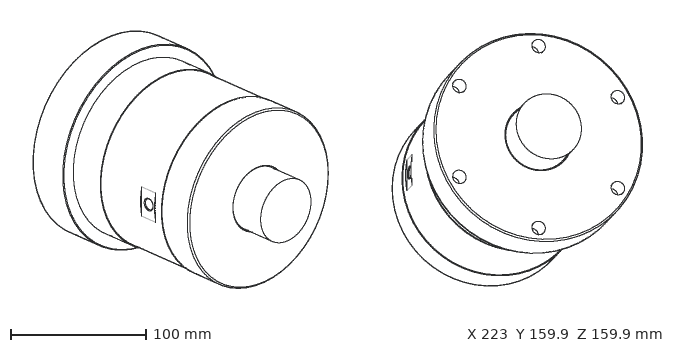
import cadquery as cq
import math

shaft_length = 223.0
shaft_radius = 25.0
shaft_overhang = 29.9

flange_radius = 79.95
flange_length = 35.0
flange_front_chamfer = 1.3
flange_back_chamfer = 0.7
land_radius = 70.0
land_length = 30.0
land_chamfer = 1.3
waist_radius = 69.4
bore_chamfer = 1.0
bore_radius = shaft_radius

housing_length = shaft_length - 2 * shaft_overhang
housing_start = -housing_length / 2
housing_end = housing_length / 2
flange_end = housing_start + flange_length
waist_start = flange_end + land_length
waist_end = housing_end - land_length

bolt_count = 6
bolt_circle_radius = 70.0
bolt_hole_radius = 5.1
bolt_hole_depth = 20.0
drill_tip_angle = 118.0

flat_width = 15.5
flat_height = 23.6
flat_distance = math.sqrt(waist_radius**2 - (flat_height / 2) ** 2)
flat_x = waist_end - 16.0
port_radius = 4.2
port_depth = 13.4
port_chamfer = 0.7


def make_shaft():
    return cq.Workplane("YZ", origin=(-shaft_length / 2, 0, 0)).circle(shaft_radius).extrude(shaft_length)


def make_housing_blank():
    """Revolve the stepped half section, including its chamfered through bore, about X."""
    return (
        cq.Workplane("XY")
        .moveTo(housing_start + bore_chamfer, bore_radius)
        .lineTo(housing_start, bore_radius + bore_chamfer)
        .lineTo(housing_start, flange_radius - flange_front_chamfer)
        .lineTo(housing_start + flange_front_chamfer, flange_radius)
        .lineTo(flange_end - flange_back_chamfer, flange_radius)
        .lineTo(flange_end, flange_radius - flange_back_chamfer)
        .lineTo(flange_end, land_radius)
        .lineTo(waist_start, land_radius)
        .lineTo(waist_start, waist_radius)
        .lineTo(waist_end, waist_radius)
        .lineTo(waist_end, land_radius)
        .lineTo(housing_end - land_chamfer, land_radius)
        .lineTo(housing_end, land_radius - land_chamfer)
        .lineTo(housing_end, bore_radius + bore_chamfer)
        .lineTo(housing_end - bore_chamfer, bore_radius)
        .close()
        .revolve(360, (0, 0, 0), (1, 0, 0))
    )


def make_bolt_hole(angle):
    """Drilled hole with a conical bottom, at the given angle from +Z about X."""
    tip_length = bolt_hole_radius / math.tan(math.radians(drill_tip_angle / 2))
    hole = (
        cq.Workplane("XY")
        .polyline([
            (0, 0),
            (0, bolt_hole_radius),
            (bolt_hole_depth, bolt_hole_radius),
            (bolt_hole_depth + tip_length, 0),
        ])
        .close()
        .revolve(360, (0, 0, 0), (1, 0, 0))
        .translate((housing_start, 0, bolt_circle_radius))
    )
    return hole.rotate((0, 0, 0), (1, 0, 0), angle)


def make_flat_and_port():
    """Cutter for one flat and its chamfered port, on the -Y side."""
    cut_height = land_radius - flat_distance
    flat = cq.Workplane("XY").box(flat_width, cut_height, flat_height)
    flat = flat.translate((flat_x, -flat_distance - cut_height / 2, 0))
    port = (
        cq.Workplane("XY", origin=(flat_x, -flat_distance, 0))
        .polyline([
            (0, 0),
            (port_radius + port_chamfer, 0),
            (port_radius, port_chamfer),
            (port_radius, port_depth),
            (0, port_depth),
        ])
        .close()
        .revolve(360, (0, 0, 0), (0, 1, 0))
    )
    return flat.union(port)


def make_housing():
    body = make_housing_blank()
    for index in range(bolt_count):
        body = body.cut(make_bolt_hole(index * 360 / bolt_count))
    side_cut = make_flat_and_port()
    return body.cut(side_cut).cut(side_cut.mirror("XZ"))


shaft = make_shaft()
housing = make_housing()

result = cq.Compound.makeCompound([shaft.val(), housing.val()])